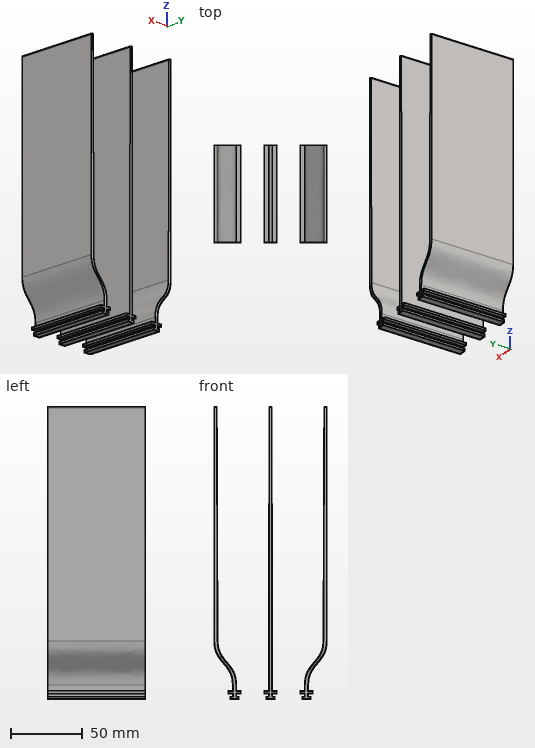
import cadquery as cq

total_width = 78.5
depth = 68.0
height = 203.8

foot_thickness = 2.5
tip_thickness = 1.92
bend_bottom = 10.0
bend_top = 40.5
bend_handle = 15.9
outer_foot_x = 25.0

base_width = 5.7
base_height = 1.8
flange_width = 9.0
flange_bottom = 3.9
flange_thickness = 1.8

half_foot = foot_thickness / 2
half_tip = tip_thickness / 2
outer_face_x = total_width / 2
tip_base = height - half_tip


def rail(center_x, width, bottom, thickness):
    """Flat strip running the full depth, centred on a blade foot."""
    return (
        cq.Workplane("XY", origin=(center_x, 0, bottom))
        .box(width, depth, thickness, centered=(True, True, False))
    )


def add_foot(blade, center_x):
    """Join the base strip and the flange above it to a blade."""
    base = rail(center_x, base_width, 0, base_height)
    flange = rail(center_x, flange_width, flange_bottom, flange_thickness)
    return blade.union(base).union(flange)


def bend_curve(foot_face_x, blade_face_x):
    """Bezier points of one face of the S-bend, bottom to top, vertical at both ends."""
    return [
        (foot_face_x, bend_bottom),
        (foot_face_x, bend_bottom + bend_handle),
        (blade_face_x, bend_top - bend_handle),
        (blade_face_x, bend_top),
    ]


def make_center_blade():
    """Straight tapered blade with a fully rounded tip."""
    blade = (
        cq.Workplane("XZ", origin=(0, depth / 2, 0))
        .moveTo(half_foot, 0)
        .lineTo(half_tip, tip_base)
        .threePointArc((0, height), (-half_tip, tip_base))
        .lineTo(-half_foot, 0)
        .close()
        .extrude(depth)
    )
    return add_foot(blade, 0)


def make_outer_blade():
    """Blade on the +X side: vertical foot, S-bend, then up to a rounded tip.

    The outward face is vertical above the bend; the inward face carries the taper.
    """
    outward_bend = bend_curve(outer_foot_x + half_foot, outer_face_x)
    inward_bend = bend_curve(outer_foot_x - half_foot, outer_face_x - foot_thickness)
    blade = (
        cq.Workplane("XZ", origin=(0, depth / 2, 0))
        .moveTo(outer_foot_x + half_foot, 0)
        .lineTo(*outward_bend[0])
        .bezier(outward_bend)
        .lineTo(outer_face_x, tip_base)
        .threePointArc((outer_face_x - half_tip, height), (outer_face_x - tip_thickness, tip_base))
        .lineTo(*inward_bend[-1])
        .bezier(inward_bend[::-1])
        .lineTo(outer_foot_x - half_foot, 0)
        .close()
        .extrude(depth)
    )
    return add_foot(blade, outer_foot_x)


center_blade = make_center_blade()
right_blade = make_outer_blade()
left_blade = right_blade.mirror("YZ")

result = cq.Compound.makeCompound([center_blade.val(), right_blade.val(), left_blade.val()])